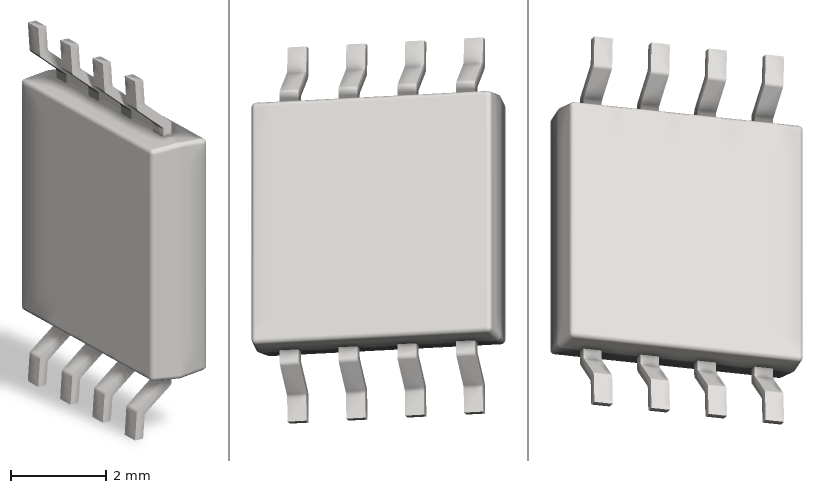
import cadquery as cq
import math

TIP_SPAN = 8.03
TOTAL_DEPTH = 1.5

BODY_SIDE = 5.28
BODY_DEPTH = 1.39
DRAFT_ANGLE = 5.0
EDGE_RADIUS = 0.1

LEADS_PER_ROW = 4
LEAD_PITCH = 1.27
LEAD_WIDTH = 0.41
LEAD_THICKNESS = 0.2
BEND_RADIUS = 0.1
SHOULDER_LENGTH = 0.24
FOOT_LENGTH = 0.595
FOOT_ANGLE = 4.0
ROOT_OVERLAP = 0.4


def half_body(direction):
    """One half of the body, tapering from the parting plane along +Y (1) or -Y (-1)."""
    half = (
        cq.Workplane("XZ")
        .rect(BODY_SIDE, BODY_SIDE)
        .extrude(-direction * BODY_DEPTH / 2, taper=DRAFT_ANGLE)
    )
    parting_face = "<Y" if direction > 0 else ">Y"
    return half.edges(f"not {parting_face}").fillet(EDGE_RADIUS)


def lead_outline():
    """Corners (Y, Z) of the bent strip in the upper row, up its -Y side and back down its +Y side."""
    half_thickness = LEAD_THICKNESS / 2
    root_z = BODY_SIDE / 2 - ROOT_OVERLAP
    tip_z = TIP_SPAN / 2
    foot_tilt = math.radians(FOOT_ANGLE)

    shoulder_z = BODY_SIDE / 2 + SHOULDER_LENGTH
    ankle_z = tip_z - FOOT_LENGTH
    foot_half_width = half_thickness / math.cos(foot_tilt)
    seating_y = BODY_DEPTH / 2 - TOTAL_DEPTH
    tip_y = seating_y + foot_half_width
    ankle_y = tip_y + FOOT_LENGTH * math.tan(foot_tilt)
    slope_tilt = math.atan2(-ankle_y, ankle_z - shoulder_z)

    def side(offset):
        """Mitred edge of the strip; a positive offset lies toward +Y."""
        shoulder_rise = offset * math.tan(slope_tilt / 2)
        ankle_mitre = offset / math.cos((slope_tilt - foot_tilt) / 2)
        mitre_tilt = (slope_tilt + foot_tilt) / 2
        ankle = (
            ankle_y + ankle_mitre * math.cos(mitre_tilt),
            ankle_z + ankle_mitre * math.sin(mitre_tilt),
        )
        tip = (tip_y + offset / math.cos(foot_tilt), tip_z)
        return [(offset, root_z), (offset, shoulder_z + shoulder_rise), ankle, tip]

    return side(-half_thickness) + side(half_thickness)[::-1]


def upper_lead(center_x):
    """A lead of the upper row, centred on X = center_x, with all four bend edges rounded."""
    strip = (
        cq.Workplane("YZ", origin=(center_x, 0, 0))
        .polyline(lead_outline())
        .close()
        .extrude(LEAD_WIDTH / 2, both=True)
    )
    bend_edges = "|X and (not >Z) and (not <Z)"
    return strip.edges(bend_edges).fillet(BEND_RADIUS)


result = half_body(1).union(half_body(-1))
first_lead_x = -(LEADS_PER_ROW - 1) / 2 * LEAD_PITCH
for index in range(LEADS_PER_ROW):
    lead = upper_lead(first_lead_x + index * LEAD_PITCH)
    result = result.union(lead).union(lead.mirror("XY"))